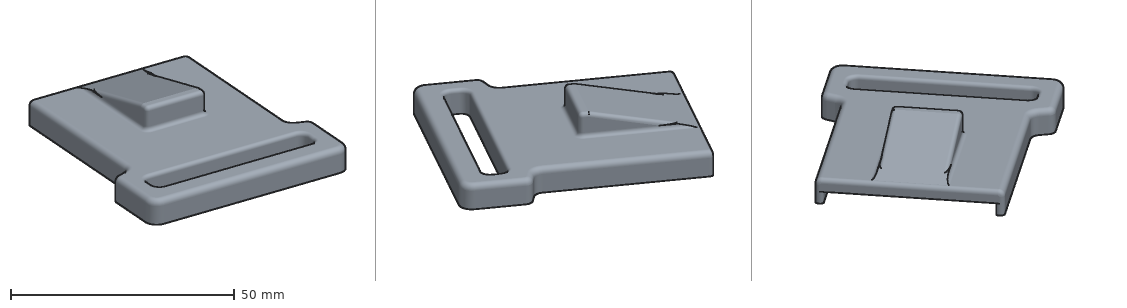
import cadquery as cq

length = 59.0
head_width = 53.0
body_width = 42.95
plate_height = 6.15
body_end_x = 41.05
head_start_x = 42.85
inner_shoulder_radius = 2.35
outer_shoulder_radius = 2.0
head_corner_radius = 3.0
top_round = 1.5
front_round = 1.1

slot_start_x = 47.0
slot_width = 5.95
slot_length = 42.95
slot_corner_radius = 2.0
slot_round = 0.95

side_wall = 2.0
recess_height = 3.0
recess_end_x = 41.3
recess_edge_round = 2.1
wall_tip_round = 0.8

ramp_start_x = 1.2
ramp_top_x = 25.65
ramp_end_x = 28.0
ramp_depth = 2.95
ramp_width = 15.95
total_height = 12.0
ramp_round = 1.0

recess_width = body_width - 2 * side_wall
ramp_slope = (total_height - plate_height) / (ramp_top_x - ramp_start_x)


def block(x_start, x_end, width, z_start, z_end):
    """Box centred on the XZ plane."""
    return (
        cq.Workplane("XY", origin=((x_start + x_end) / 2, 0, z_start))
        .rect(x_end - x_start, width)
        .extrude(z_end - z_start)
    )


def edges_at(body, x, y, z, reach=0.05):
    """Edges whose midpoint lies close to the point (x, |y|, z), on both sides."""
    near = [cq.selectors.BoxSelector(
        (x - reach, side * y - reach, z - reach),
        (x + reach, side * y + reach, z + reach)) for side in (-1, 1)]
    return body.edges(near[0] + near[1])


def make_plate():
    half_body = body_width / 2
    half_head = head_width / 2
    half_outline = [
        (0, half_body),
        (body_end_x, half_body),
        (head_start_x, half_head),
        (length, half_head),
    ]
    mirrored = [(x, -y) for x, y in reversed(half_outline)]
    plate = cq.Workplane("XY").polyline(half_outline + mirrored).close().extrude(plate_height)
    corner_radii = [inner_shoulder_radius, outer_shoulder_radius, head_corner_radius]
    for (x, y), radius in zip(half_outline[1:], corner_radii):
        plate = edges_at(plate, x, y, plate_height / 2).fillet(radius)
    plate = plate.faces(">Z").edges("not <X").fillet(top_round)
    return plate.faces("<X").edges("not <Z").fillet(front_round)


def cut_slot(plate):
    slot = (
        block(slot_start_x, slot_start_x + slot_width, slot_length, 0, plate_height)
        .edges("|Z").fillet(slot_corner_radius)
    )
    plate = plate.cut(slot)
    slot_rim = plate.faces(">Z").val().innerWires()[0].Edges()
    return plate.newObject(slot_rim).fillet(slot_round)


def cut_recess(plate):
    plate = plate.cut(block(0, recess_end_x, recess_width, 0, recess_height))
    plate = edges_at(plate, 0, recess_width / 2, recess_height / 2).fillet(wall_tip_round)
    return edges_at(plate, recess_end_x, 0, 0).fillet(recess_edge_round)


def ramp_prism(width, back_x):
    """Side profile of the ramp, its slope carried on down into the plate."""
    buried_z = plate_height - ramp_depth
    buried_x = ramp_start_x - ramp_depth / ramp_slope
    return (
        cq.Workplane("XZ", origin=(0, width / 2, 0))
        .polyline([
            (buried_x, buried_z),
            (ramp_top_x, total_height),
            (back_x, total_height),
            (back_x, buried_z),
        ])
        .close()
        .extrude(width)
    )


def make_ramp():
    """Ramp with rounded upper edges, trimmed at the recess roof and at its front tip."""
    ramp = ramp_prism(ramp_width, ramp_end_x)
    ramp = ramp.edges("|Z and >X").fillet(ramp_round)
    slope_mid_x = (ramp_top_x + ramp_start_x - ramp_depth / ramp_slope) / 2
    slope_mid_z = (total_height + plate_height - ramp_depth) / 2
    slope_sides = edges_at(ramp, slope_mid_x, ramp_width / 2, slope_mid_z)
    top_rim = ramp.faces(">Z").edges("not <X")
    ramp = slope_sides.add(top_rim).fillet(ramp_round)
    return ramp.intersect(block(ramp_start_x, length, head_width, recess_height, total_height))


def make_ramp_foot():
    """Concave flare around the ramp, cut off by the plane of the slope."""
    foot_width = ramp_width + 2 * ramp_round
    flare_top = plate_height + ramp_round
    slab = block(-length, length, head_width, recess_height, plate_height)
    post = (
        block(-length / 2, ramp_end_x, ramp_width, recess_height, total_height)
        .edges("|Z and >X").fillet(ramp_round)
    )
    flared = slab.union(post)
    flared = edges_at(flared, ramp_end_x, 0, plate_height).fillet(ramp_round)
    flare = flared.intersect(block(ramp_start_x, length, foot_width, plate_height, flare_top))
    return flare.intersect(ramp_prism(foot_width, ramp_end_x + ramp_round))


plate = cut_recess(cut_slot(make_plate()))
result = plate.union(make_ramp_foot()).union(make_ramp())